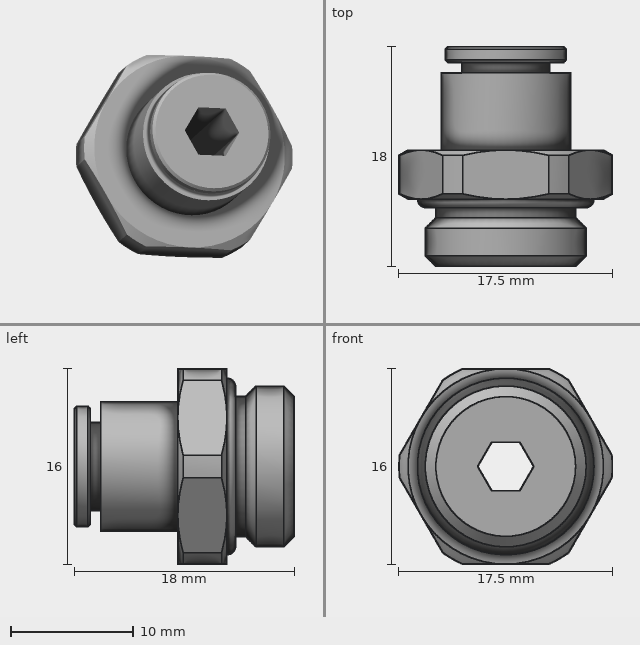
import cadquery as cq
import math

LENGTH = 18.0

THREAD_RADIUS = 6.59
NECK_RADIUS = 5.75
THREAD_CHAMFER = 0.86
THREAD_END = 3.11
NECK_START = THREAD_END + THREAD_RADIUS - NECK_RADIUS

HEX_START = 5.5
HEX_END = 9.52
HEX_FLATS = 16.0
HEX_TURNED_RADIUS = 8.75
HEX_CHAMFER_ANGLE = 30.0

RING_OUTER_RADIUS = 7.24
RING_FRONT = 4.79
RING_TUBE_RADIUS = 0.75

BODY_RADIUS = 5.31
BODY_END = 15.84
GROOVE_RADIUS = 3.62
CAP_START = 16.69
CAP_RADIUS = 4.95
CAP_CHAMFER = 0.22

SOCKET_FLATS = 3.96


def across_corners(flats):
    return flats / math.cos(math.radians(30))


def hex_prism(flats, start, end):
    """Hexagonal prism along Y with two corners on the X axis."""
    return (
        cq.Workplane("XZ", origin=(0, start, 0))
        .polygon(6, across_corners(flats))
        .extrude(start - end)
    )


def revolve_about_y(points):
    """Solid of revolution from (radius, y) points."""
    return cq.Workplane("XY").polyline(points).close().revolve(360, (0, 0), (0, 1))


def turned_core():
    return revolve_about_y([
        (0, 0),
        (THREAD_RADIUS - THREAD_CHAMFER, 0),
        (THREAD_RADIUS, THREAD_CHAMFER),
        (THREAD_RADIUS, THREAD_END),
        (NECK_RADIUS, NECK_START),
        (NECK_RADIUS, HEX_START),
        (BODY_RADIUS, HEX_START),
        (BODY_RADIUS, BODY_END),
        (GROOVE_RADIUS, BODY_END),
        (GROOVE_RADIUS, CAP_START),
        (CAP_RADIUS - CAP_CHAMFER, CAP_START),
        (CAP_RADIUS, CAP_START + CAP_CHAMFER),
        (CAP_RADIUS, LENGTH - CAP_CHAMFER),
        (CAP_RADIUS - CAP_CHAMFER, LENGTH),
        (0, LENGTH),
    ])


def collar():
    """Hexagon cut to a turned blank that is chamfered at both ends."""
    face_radius = HEX_FLATS / 2
    chamfer_depth = (HEX_TURNED_RADIUS - face_radius) * math.tan(math.radians(HEX_CHAMFER_ANGLE))
    blank = revolve_about_y([
        (0, HEX_START),
        (face_radius, HEX_START),
        (HEX_TURNED_RADIUS, HEX_START + chamfer_depth),
        (HEX_TURNED_RADIUS, HEX_END - chamfer_depth),
        (face_radius, HEX_END),
        (0, HEX_END),
    ])
    return hex_prism(HEX_FLATS, HEX_START, HEX_END).intersect(blank)


def sealing_ring():
    ring_radius = RING_OUTER_RADIUS - RING_TUBE_RADIUS
    return (
        cq.Workplane("XY")
        .center(ring_radius, RING_FRONT + RING_TUBE_RADIUS)
        .circle(RING_TUBE_RADIUS)
        .revolve(360, (-ring_radius, 0), (-ring_radius, 1))
    )


socket = hex_prism(SOCKET_FLATS, 0, LENGTH)
result = turned_core().union(collar()).union(sealing_ring()).cut(socket)